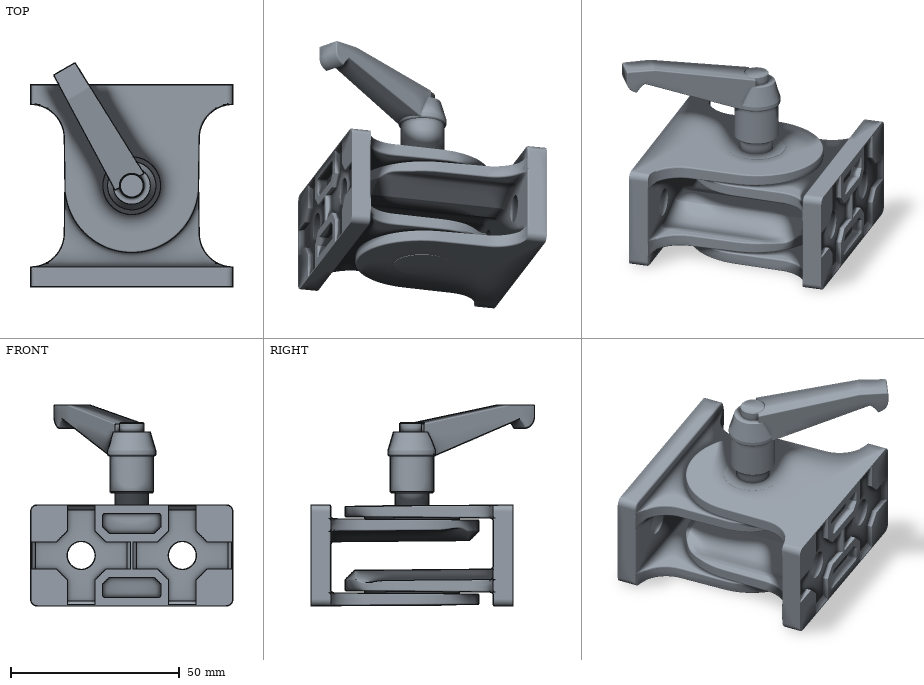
import cadquery as cq
import math

width = 60.0
height = 30.0
half_width = width / 2
half_span = width / 2
mid_height = height / 2

plate_thickness = 5.9
plate_inner_y = half_span - plate_thickness
plate_corner_radius = 2.0
plate_edge_radius = 0.5
hole_radius = 4.1
hole_offset = width / 4
cross_depth = 1.5
cross_half_width = 4.05
cross_half_length = 14.6
cross_end_run = 1.05
hub_corner = 7.3
pocket_width = 17.25
pocket_height = 6.0
pocket_depth = 3.0
pocket_offset = 9.5
pocket_chamfer = 2.0
pocket_corner_radius = 0.8

arm_radius = 19.85
arm_root_half_width = 20.05
flare_radius = 9.95
arm_thickness = 4.0
arm_play = 0.05
draft = 0.5
arm_edge_radius = 0.4
root_radius = 1.0
root_margin = 0.05
upper_arm_bottom = height - arm_thickness
lower_arm_bottom = arm_thickness + arm_play
lower_arm_top = 7.9

ridge_height = 3.1
ridge_top_half = 4.0
ridge_foot = 11.95
groove_bottom = 14.9
groove_outer = 17.5
groove_depth = 0.45
ridge_tip_gap = 0.3

washer_radius = 14.05
washer_thickness = 0.7
washer_level = (upper_arm_bottom + height - lower_arm_bottom) / 2
bushing_radius = 8.55
slope = math.tan(math.radians(draft))
bushing_top = height - (half_span - bushing_radius) * slope
bushing_length = 7.6

neck_radius = 5.0
sleeve_bottom = 33.6
sleeve_radius = 6.5
sleeve_chamfer = 0.4
hub_bottom = 44.45
hub_widest = 46.05
hub_top = 51.6
hub_base_radius = 7.15
hub_top_radius = 5.5
hub_round = 0.65
grip_heel = 1.3
grip_heel_top = 54.0
grip_bend = 31.45
grip_length = 40.0
grip_top = 59.65
grip_heel_width = 9.9
grip_tip_width = 7.35
grip_edge_radius = 0.3
grip_tip_radius = 0.5
grip_angle = 120.0
hook_start = 56.1
hook_point = (36.95, 52.7)
hook_middle = (38.95, 53.75)
finger_middle = (35.9, 54.15)
finger_end = (34.55, 55.3)
underside_heel = (5.65, 44.7)
button_radius = 3.65
button_top = 54.3
button_chamfer = 0.25


def cylinder(radius, bottom, top):
    return cq.Workplane("XY").workplane(offset=bottom).circle(radius).extrude(top - bottom)


def arm_outline():
    """Plan of an arm: slightly tapered sides, round end at -Y, flared into the plate at +Y."""
    flare_y = plate_inner_y - flare_radius
    flare_x = arm_root_half_width + flare_radius
    bend = flare_radius * math.sqrt(0.5)
    return (
        cq.Workplane("XY")
        .moveTo(-flare_x, plate_inner_y + plate_edge_radius)
        .lineTo(-flare_x, plate_inner_y)
        .threePointArc((-flare_x + bend, flare_y + bend), (-arm_root_half_width, flare_y))
        .lineTo(-arm_radius, 0)
        .threePointArc((0, -arm_radius), (arm_radius, 0))
        .lineTo(arm_root_half_width, flare_y)
        .threePointArc((flare_x - bend, flare_y + bend), (flare_x, plate_inner_y))
        .lineTo(flare_x, plate_inner_y + plate_edge_radius)
        .close()
        .extrude(height)
    )


def drafted_slab(bottom, top):
    """Slab that thins from the plate's outer face towards the arm tip on both faces."""
    reach = half_span + arm_radius
    rise = reach * slope
    return (
        cq.Workplane("YZ")
        .polyline([(half_span, bottom), (half_span, top),
                   (-arm_radius, top - rise), (-arm_radius, bottom + rise)])
        .close()
        .extrude(half_width, both=True)
    )


def round_arm_edges(arm):
    """Round the rim of an arm wherever it stands clear of the plate."""
    clear_zone = cq.selectors.BoxSelector(
        (-width, -width, 0), (width, plate_inner_y - root_radius, height)
    )
    return arm.edges(clear_zone).edges("not |Z").fillet(arm_edge_radius)


def root_blend(bar):
    """Concave fillet where a full-width arm bar meets the plate's inner face."""
    block = (
        cq.Workplane("XY", origin=(0, plate_inner_y, mid_height))
        .box(width, plate_thickness, 2 * height, centered=(True, False, True))
    )
    strip = (
        cq.Workplane("XY", origin=(0, plate_inner_y - root_radius, mid_height))
        .box(width, root_radius, 2 * height, centered=(True, False, True))
    )
    root_edges = cq.selectors.BoxSelector(
        (root_margin - half_width, plate_inner_y - root_margin, -mid_height),
        (half_width - root_margin, plate_inner_y + root_margin, height + mid_height),
    )
    front_part = bar.cut(block)
    blended = block.union(front_part).edges(root_edges).fillet(root_radius)
    return blended.intersect(strip).intersect(arm_outline())


def upper_arm():
    bar = drafted_slab(upper_arm_bottom, height)
    return round_arm_edges(arm_outline().intersect(bar)).union(root_blend(bar))


def ridge_section():
    """Lower arm cut to a ridged section, tilted by the draft angle."""
    dip = lower_arm_top - groove_depth
    ridge_top = lower_arm_top + ridge_height
    dip_x = (groove_bottom + ridge_foot) / 2
    section = (
        cq.Workplane("XZ", origin=(0, plate_inner_y + plate_edge_radius, 0))
        .moveTo(-half_width, -height)
        .lineTo(-half_width, lower_arm_top)
        .lineTo(-groove_outer, lower_arm_top)
        .lineTo(-groove_bottom, dip)
        .threePointArc((-dip_x, dip), (-ridge_foot, lower_arm_top))
        .lineTo(-ridge_top_half, ridge_top)
        .lineTo(ridge_top_half, ridge_top)
        .lineTo(ridge_foot, lower_arm_top)
        .threePointArc((dip_x, dip), (groove_bottom, dip))
        .lineTo(groove_outer, lower_arm_top)
        .lineTo(half_width, lower_arm_top)
        .lineTo(half_width, -height)
        .close()
        .extrude(width)
    )
    pivot = (0, half_span, lower_arm_top)
    return section.rotate(pivot, (1, pivot[1], pivot[2]), draft)


def ridge_tip_cone():
    """Envelope that bevels the ridge at 45 degrees around the round arm end."""
    start = lower_arm_top - (half_span + arm_radius) * slope + ridge_tip_gap
    cone = (
        cq.Workplane("XZ")
        .polyline([(0, 0), (arm_radius, 0), (arm_radius, start), (0, start + arm_radius)])
        .close()
        .revolve(360, (0, 0, 0), (0, 1, 0))
    )
    root_block = cq.Workplane("XY").box(width, half_span, height, centered=(True, False, False))
    return cone.union(root_block)


def lower_arm():
    bar = drafted_slab(lower_arm_bottom, height).intersect(ridge_section())
    arm = arm_outline().intersect(bar).intersect(ridge_tip_cone())
    return round_arm_edges(arm).union(root_blend(bar))


def cross_recess(x):
    """Cross-shaped recess, with sloped bar ends, in the plate's outer face."""
    bar = (
        cq.Workplane("XY")
        .polyline([(-cross_half_length, 0), (cross_half_length, 0),
                   (cross_half_length - cross_end_run, -cross_depth),
                   (cross_end_run - cross_half_length, -cross_depth)])
        .close()
        .extrude(cross_half_width, both=True)
    )
    upright = bar.rotate((0, 0, 0), (0, 1, 0), 90)
    corners = [(hub_corner, cross_half_width), (cross_half_width, hub_corner)]
    corners += [(-a, b) for a, b in reversed(corners)]
    corners += [(-a, -b) for a, b in corners]
    hub = cq.Workplane("XZ").polyline(corners).close().extrude(cross_depth)
    return bar.union(upright).union(hub).translate((x, half_span, mid_height))


def pocket(side):
    """Slot-like pocket whose corners next to the plate's centre line are bevelled."""
    cutter = (
        cq.Workplane("XY")
        .box(pocket_width, pocket_depth, pocket_height, centered=(True, False, True))
        .edges("|Y and <Z").chamfer(pocket_chamfer)
        .edges("|Y and >Z").fillet(pocket_corner_radius)
    )
    if side < 0:
        cutter = cutter.rotate((0, 0, 0), (0, 1, 0), 180)
    return cutter.translate((0, half_span - pocket_depth, mid_height + side * pocket_offset))


def mounting_plate():
    plate = (
        cq.Workplane("XY")
        .box(width, plate_thickness, height, centered=(True, False, False))
        .translate((0, plate_inner_y, 0))
        .edges("|Y").fillet(plate_corner_radius)
        .faces("<Y").edges().fillet(plate_edge_radius)
    )
    for x in (-hole_offset, hole_offset):
        hole = cq.Workplane("XZ").center(x, mid_height).circle(hole_radius).extrude(-half_span)
        plate = plate.cut(hole).cut(cross_recess(x))
    for side in (-1, 1):
        plate = plate.cut(pocket(side))
    return plate


def turn_over(body):
    """Half turn about the X direction through the hinge centre."""
    return body.rotate((0, 0, mid_height), (1, 0, mid_height), 180)


def washer():
    bottom = washer_level - washer_thickness / 2
    ring = cylinder(washer_radius, bottom, bottom + washer_thickness)
    return ring.cut(cylinder(bushing_radius, 0, height))


def bushing():
    return cylinder(bushing_radius, bushing_top - bushing_length, bushing_top)


def bracket_envelope():
    """Rounded plate outline run along Y, with its top drafted like the upper arm."""
    outline = (
        cq.Workplane("XY")
        .box(width, width, height, centered=(True, True, False))
        .edges("|Y").fillet(plate_corner_radius)
    )
    return outline.intersect(drafted_slab(-height, height))


def bracket():
    body = mounting_plate().union(upper_arm()).union(lower_arm()).intersect(bracket_envelope())
    for seated in (washer(), bushing()):
        body = body.cut(seated).cut(turn_over(seated))
    return body


def neck():
    return cylinder(neck_radius, bushing_top, sleeve_bottom)


def button():
    return cylinder(button_radius, hub_top, button_top).faces(">Z").edges().chamfer(button_chamfer)


def lever_grip():
    """Tapered grip bar with a hooked tip, laid out along +X from the pivot axis."""
    profile = (
        cq.Workplane("XZ")
        .moveTo(grip_heel, underside_heel[1])
        .lineTo(grip_heel, grip_heel_top)
        .lineTo(grip_bend, grip_top)
        .lineTo(grip_length, grip_top)
        .lineTo(grip_length, hook_start)
        .threePointArc(hook_middle, hook_point)
        .threePointArc(finger_middle, finger_end)
        .lineTo(*underside_heel)
        .close()
        .extrude(half_width, both=True)
        .edges("|Y").edges(">X").edges(">Z").fillet(grip_tip_radius)
    )
    plan = (
        cq.Workplane("XY")
        .polyline([(grip_heel, -grip_heel_width / 2), (grip_length, -grip_tip_width / 2),
                   (grip_length, grip_tip_width / 2), (grip_heel, grip_heel_width / 2)])
        .close()
        .extrude(grip_top)
    )
    grip = profile.intersect(plan)
    return grip.faces("<Y or >Y").edges("not(<X)").fillet(grip_edge_radius)


def lever():
    round_inset = hub_round * (1 - math.sqrt(0.5))
    hub_round_middle = (hub_base_radius - round_inset, hub_bottom + round_inset)
    sleeve = cylinder(sleeve_radius, sleeve_bottom, hub_bottom).faces("<Z").chamfer(sleeve_chamfer)
    hub = (
        cq.Workplane("XZ")
        .moveTo(0, hub_bottom)
        .lineTo(hub_base_radius - hub_round, hub_bottom)
        .threePointArc(hub_round_middle, (hub_base_radius, hub_bottom + hub_round))
        .lineTo(hub_base_radius, hub_widest)
        .lineTo(hub_top_radius, hub_top)
        .lineTo(0, hub_top)
        .close()
        .revolve(360, (0, 0, 0), (0, 1, 0))
    )
    grip = lever_grip().rotate((0, 0, 0), (0, 0, 1), grip_angle)
    seat = cylinder(button_radius, hub_top, grip_top)
    return sleeve.union(hub).union(grip.cut(seat))


rear_bracket = bracket()
front_bracket = turn_over(rear_bracket)
bodies = [rear_bracket, front_bracket, lever(), neck(), button()]
for part in (washer(), bushing()):
    bodies += [part, turn_over(part)]

result = cq.Compound.makeCompound([body.val() for body in bodies])